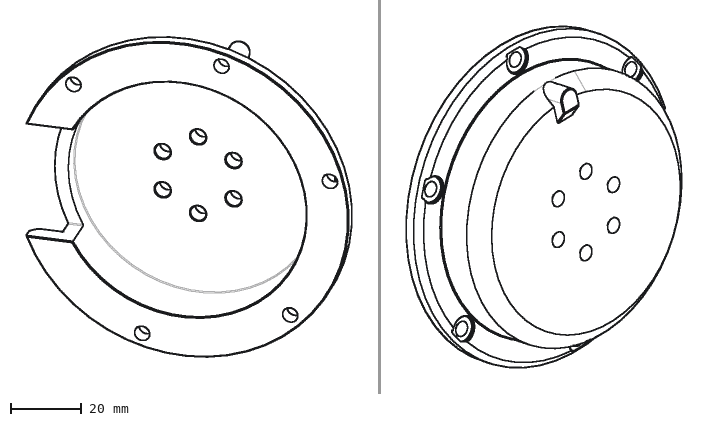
import cadquery as cq
import math

flange_radius = 49.0
flange_thickness = 5.5
flange_back_chamfer = 2.0
edge_break = 0.3
corner_fillet = 0.3
plane_tolerance = 0.01

body_radius = 40.5
body_depth = 21.5
body_chamfer = 5.0
pocket_radius = 36.5
pocket_depth = 16.5

notch_half_width = 17.5
notch_depth = 11.0

flange_hole_circle_radius = 45.0
flange_hole_diameter = 4.4
flange_hole_angles = [-105, -45, 15, 75, 135]
spotface_diameter = 7.5
spotface_depth = 0.9

floor_hole_count = 6
floor_hole_circle_radius = 12.0
floor_hole_diameter = 4.5
floor_hole_start_angle = 90
floor_hole_chamfer = 0.25

lug_angle = 75
lug_half_width = 3.0
lug_height = 4.0
lug_inner_radius = 34.0


def cylinder(radius, start, end, x=0, z=0):
    """Cylinder along Y between the two given Y positions."""
    axis_start = cq.Vector(x, start, z)
    return cq.Workplane(cq.Solid.makeCylinder(radius, end - start, axis_start, cq.Vector(0, 1, 0)))


def countersink(radius, face, depth, x, z):
    """45 degree cone breaking the edge of a hole; depth is signed along Y from the face it starts at."""
    direction = cq.Vector(0, math.copysign(1, depth), 0)
    mouth_radius = radius + abs(depth)
    return cq.Workplane(cq.Solid.makeCone(mouth_radius, radius, abs(depth), cq.Vector(x, face, z), direction))


def polar_points(radius, angles):
    """X, Z positions on a circle about the Y axis."""
    return [
        (radius * math.cos(math.radians(a)), radius * math.sin(math.radians(a)))
        for a in angles
    ]


def make_flange():
    disc = cylinder(flange_radius, 0, flange_thickness)
    return disc.faces(">Y").chamfer(flange_back_chamfer)


def make_body():
    body = cylinder(body_radius, 0, body_depth)
    return body.faces(">Y").chamfer(body_chamfer)


def make_notch():
    length = 2 * flange_radius
    notch = cq.Workplane("XY").box(length, notch_depth, 2 * notch_half_width, centered=(True, False, True))
    return notch.translate((-flange_radius, 0, 0))


def make_lug():
    """Radial lug with a rounded outer end and a 45 degree ramp at its inner end."""
    end_centre = body_radius - lug_half_width
    top = body_depth + lug_height
    root = body_depth - body_chamfer
    ramp_foot = lug_inner_radius - (top - root)
    side = (
        cq.Workplane("XY")
        .polyline([(ramp_foot, root), (body_radius, root), (body_radius, top), (lug_inner_radius, top)])
        .close()
        .extrude(lug_half_width, both=True)
    )
    straight_length = end_centre - ramp_foot
    plan = cq.Workplane("XY").box(
        straight_length, top - root, 2 * lug_half_width, centered=(False, False, True)
    ).translate((ramp_foot, root, 0))
    plan = plan.union(cylinder(lug_half_width, root, top, x=end_centre))
    lug = side.intersect(plan).faces(">Y or <X").edges().chamfer(edge_break)
    return lug.rotate((0, 0, 0), (0, 1, 0), -lug_angle)


def edges_in_plane(part, depth):
    """Edges of the part that lie wholly in the plane Y = depth."""
    reach = 2 * flange_radius
    low = (-reach, depth - plane_tolerance, -reach)
    high = (reach, depth + plane_tolerance, reach)
    return part.edges(cq.selectors.BoxSelector(low, high, boundingbox=True))


def edge_radius_matches(edge, radius):
    return edge.geomType() == "CIRCLE" and math.isclose(edge.radius(), radius, abs_tol=plane_tolerance)


def fillet_corners(part):
    """Round the inside corners at the body root, the notch floor and the pocket floor."""
    root = [e for e in edges_in_plane(part, flange_thickness).vals() if edge_radius_matches(e, body_radius)]
    notch = edges_in_plane(part, notch_depth).edges("|X").vals()
    floor = [e for e in edges_in_plane(part, pocket_depth).vals() if edge_radius_matches(e, pocket_radius)]
    for group in (root, notch, floor):
        part = part.newObject(group).fillet(corner_fillet)
    return part


def cut_flange_holes(part):
    """Through holes with a shallow spotface, its rim broken, on the back of the flange."""
    spotface_floor = flange_thickness - spotface_depth
    for x, z in polar_points(flange_hole_circle_radius, flange_hole_angles):
        part = part.cut(cylinder(flange_hole_diameter / 2, 0, flange_thickness, x, z))
        spotface = cylinder(spotface_diameter / 2, spotface_floor, flange_thickness, x, z)
        mouth = countersink(spotface_diameter / 2, flange_thickness, -edge_break, x, z)
        part = part.cut(spotface).cut(mouth)
    return part


def cut_floor_holes(part):
    """Ring of through holes in the pocket floor, chamfered on the pocket side."""
    radius = floor_hole_diameter / 2
    angles = [floor_hole_start_angle + i * 360 / floor_hole_count for i in range(floor_hole_count)]
    for x, z in polar_points(floor_hole_circle_radius, angles):
        hole = cylinder(radius, pocket_depth, body_depth, x, z)
        mouth = countersink(radius, pocket_depth, floor_hole_chamfer, x, z)
        part = part.cut(hole).cut(mouth)
    return part


part = make_flange().union(make_body())
part = part.cut(cylinder(pocket_radius, 0, pocket_depth)).cut(make_notch())
part = part.faces("<Y").chamfer(edge_break)
part = fillet_corners(part)
part = part.union(make_lug())
part = cut_flange_holes(part)
result = cut_floor_holes(part)